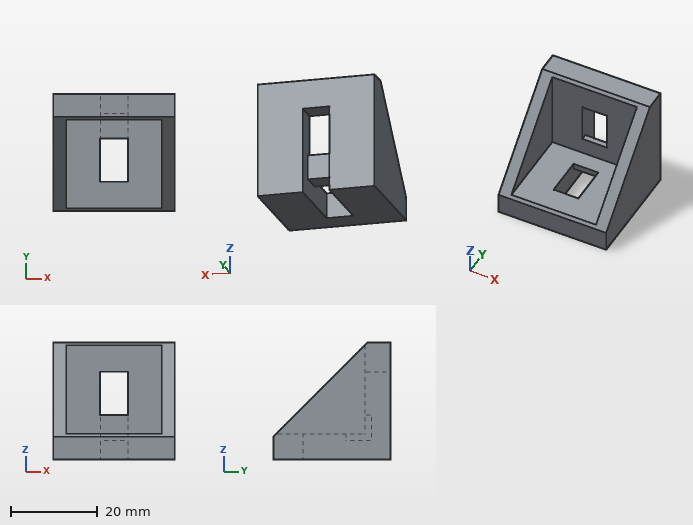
import cadquery as cq

width = 28.0
leg_length = 27.0

leg_thickness = 6.0
side_wall = 3.0
end_height = 5.3

slot_width = 6.4
slot_length = 9.9
slot_start = 10.3
slot_end = slot_start + slot_length

web_thickness = 1.5

cavity_width = width - 2 * side_wall


def side_profile_prism(points, prism_width):
    """Extrude a YZ outline symmetrically about X = 0."""
    return cq.Workplane("YZ").polyline(points).close().extrude(prism_width / 2, both=True)


def make_body():
    """Triangular bracket with its outer corner at Y = leg_length, Z = 0."""
    return side_profile_prism(
        [
            (0, 0),
            (leg_length, 0),
            (leg_length, leg_length),
            (leg_length - end_height, leg_length),
            (0, end_height),
        ],
        width,
    )


def make_cavity():
    """Space between the side walls, open through the sloped face."""
    inner_y = leg_length - leg_thickness
    return side_profile_prism(
        [
            (inner_y, leg_thickness),
            (inner_y, leg_length),
            (0, leg_length),
            (0, leg_thickness),
        ],
        cavity_width,
    )


def make_slots():
    """Slot in both legs, measured from the outer corner along each leg."""
    base_slot = cq.Workplane("XY").box(slot_width, slot_length, leg_thickness, centered=(True, False, False))
    base_slot = base_slot.translate((0, leg_length - slot_end, 0))
    back_slot = cq.Workplane("XY").box(slot_width, leg_thickness, slot_length, centered=(True, False, False))
    back_slot = back_slot.translate((0, leg_length - leg_thickness, slot_start))
    return base_slot.union(back_slot)


def make_corner_channel():
    """Channel on the outer faces joining the two slots, leaving a thin web inside the corner."""
    channel_depth = leg_thickness - web_thickness
    channel_y = leg_length - channel_depth
    return side_profile_prism(
        [
            (leg_length, 0),
            (leg_length, slot_end),
            (channel_y, slot_end),
            (channel_y, channel_depth),
            (leg_length - slot_end, channel_depth),
            (leg_length - slot_end, 0),
        ],
        slot_width,
    )


result = make_body().cut(make_cavity()).cut(make_slots()).cut(make_corner_channel())